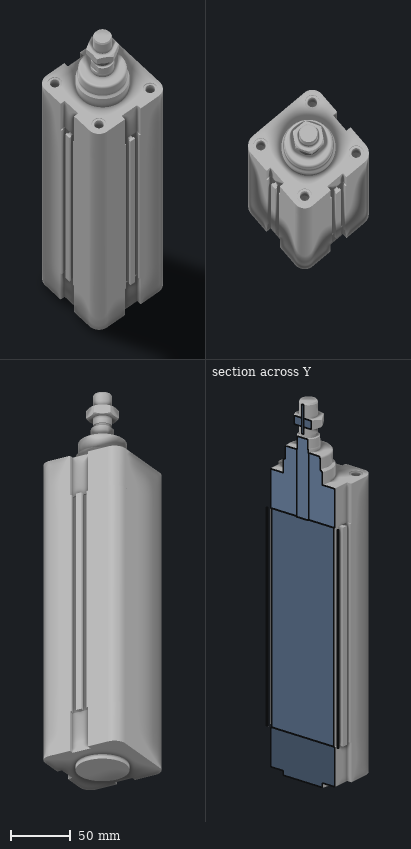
import cadquery as cq
import math

width = 77.5
total_height = 344
corner_radius = 10.3
cap_height = 36.0
barrel_height = 199.0
rear_boss_height = 4.0
barrel_base = rear_boss_height + cap_height
barrel_top = barrel_base + barrel_height
front_face = barrel_top + cap_height

cap_slot_width = 17.2
barrel_slot_width = 14.8
cap_slot_depth = 4.5
barrel_slot_depth = 5.5
slot_lip = 2.0
slot_undercut = 0.85
slot_rib_width = 5.0
slot_angles = (0, -90, 180)

fixing_offset = 28.2
fixing_diameter = 8.3
fixing_rim_diameter = 12.5
fixing_counterbore_diameter = 12.0
fixing_counterbore_depth = 0.7
fixing_depth = 20.5
drill_point_angle = 118

boss_diameter = 45.0
collar_diameter = 41.0
boss_height = 11.5
boss_chamfer = (boss_diameter - collar_diameter) / 2
collar_top = 300.3
collar_fillet = 2.0

rod_diameter = 20.0
spanner_diameter = 19.5
spanner_base = 304.0
spanner_taper = 1.0
rod_shoulder = 312.5
flat_span = 17.2
flat_base = 305.0
thread_diameter = 16.0
thread_base = 315.5
neck_diameter = 14.5
thread_chamfer_height = 1.55

nut_across_flats = 24.0
nut_height = 8.3
nut_base = 322.0
nut_chamfer_angle = 30


def cylinder(diameter, base, top):
    return cq.Workplane("XY").workplane(offset=base).circle(diameter / 2).extrude(top - base)


def rounded_block(base, height):
    block = cq.Workplane("XY").workplane(offset=base).rect(width, width).extrude(height)
    return block.edges("|Z").fillet(corner_radius)


def side_channels(channel_width, base, height, depth, inset=0):
    """Straight channels on the +X, -Y and -X sides, starting at an inset below each face."""
    channel = (
        cq.Workplane("XY")
        .workplane(offset=base)
        .center(width / 2 - inset - depth / 2, 0)
        .rect(depth, channel_width)
        .extrude(height)
    )
    channels = cq.Workplane("XY")
    for angle in slot_angles:
        channels = channels.add(channel.rotate((0, 0, 0), (0, 0, 1), angle))
    return channels.combine()


def make_cap(base):
    return rounded_block(base, cap_height).cut(side_channels(cap_slot_width, base, cap_height, cap_slot_depth))


def fixing_hole():
    """Counterbored blind hole with a bevelled rim and a drill point, opening upwards at Z = 0."""
    radius = fixing_diameter / 2
    counterbore_radius = fixing_counterbore_diameter / 2
    rim_radius = fixing_rim_diameter / 2
    point_depth = radius / math.tan(math.radians(drill_point_angle / 2))
    return (
        cq.Workplane("XZ")
        .moveTo(0, 0)
        .lineTo(rim_radius, 0)
        .lineTo(counterbore_radius, counterbore_radius - rim_radius)
        .lineTo(counterbore_radius, -fixing_counterbore_depth)
        .lineTo(radius, -fixing_counterbore_depth)
        .lineTo(radius, -fixing_depth)
        .lineTo(0, -fixing_depth - point_depth)
        .close()
        .revolve(360, (0, 0, 0), (0, 1, 0))
    )


def bosses():
    """Front boss stepping down to a collar through a 45-degree chamfer."""
    boss_radius = boss_diameter / 2
    collar_radius = collar_diameter / 2
    boss_top = front_face + boss_height
    profile = (
        cq.Workplane("XZ")
        .moveTo(0, front_face)
        .lineTo(boss_radius, front_face)
        .lineTo(boss_radius, boss_top)
        .lineTo(collar_radius, boss_top + boss_chamfer)
        .lineTo(collar_radius, collar_top)
        .lineTo(0, collar_top)
        .close()
    )
    return profile.revolve(360, (0, 0, 0), (0, 1, 0)).faces(">Z").edges().fillet(collar_fillet)


def make_front_cap():
    cap = make_cap(barrel_top).union(bosses())
    for x in (-fixing_offset, fixing_offset):
        for y in (-fixing_offset, fixing_offset):
            cap = cap.cut(fixing_hole().translate((x, y, front_face)))
    return cap.cut(cylinder(rod_diameter, barrel_top, collar_top))


def make_rear_cap():
    return make_cap(rear_boss_height).union(cylinder(boss_diameter, 0, rear_boss_height))


def make_barrel():
    """Solid square profile whose side slots are T-shaped and split by a T-shaped rib."""
    inner_width = barrel_slot_width + 2 * slot_undercut
    stem_width = slot_rib_width - 2 * slot_undercut
    inner_depth = barrel_slot_depth - slot_lip
    mouths = side_channels(barrel_slot_width, barrel_base, barrel_height, slot_lip)
    rib_heads = side_channels(slot_rib_width, barrel_base, barrel_height, slot_lip)
    undercuts = side_channels(inner_width, barrel_base, barrel_height, inner_depth, slot_lip)
    rib_stems = side_channels(stem_width, barrel_base, barrel_height, inner_depth, slot_lip)
    barrel = rounded_block(barrel_base, barrel_height)
    return barrel.cut(mouths.cut(rib_heads)).cut(undercuts.cut(rib_stems))


def make_rod():
    rod_radius = rod_diameter / 2
    spanner_radius = spanner_diameter / 2
    thread_radius = thread_diameter / 2
    neck_radius = neck_diameter / 2
    rod = (
        cq.Workplane("XZ")
        .moveTo(0, barrel_top)
        .lineTo(rod_radius, barrel_top)
        .lineTo(rod_radius, spanner_base - spanner_taper)
        .lineTo(spanner_radius, spanner_base)
        .lineTo(spanner_radius, rod_shoulder)
        .lineTo(neck_radius, rod_shoulder)
        .lineTo(neck_radius, thread_base)
        .lineTo(thread_radius, thread_base)
        .lineTo(thread_radius, total_height - thread_chamfer_height)
        .lineTo(neck_radius, total_height)
        .lineTo(0, total_height)
        .close()
        .revolve(360, (0, 0, 0), (0, 1, 0))
    )
    outside_flats = (
        cq.Workplane("XY")
        .workplane(offset=flat_base)
        .rect(2 * rod_diameter, 2 * rod_diameter)
        .rect(2 * rod_diameter, flat_span)
        .extrude(rod_shoulder - flat_base)
    )
    return rod.cut(outside_flats)


def make_nut():
    across_corners = nut_across_flats / math.cos(math.pi / 6)
    nut = (
        cq.Workplane("XY")
        .workplane(offset=nut_base)
        .polygon(6, across_corners)
        .extrude(nut_height)
    )
    flat_radius = nut_across_flats / 2
    tip_radius = across_corners / 2
    drop = (tip_radius - flat_radius) * math.tan(math.radians(nut_chamfer_angle))
    envelope = (
        cq.Workplane("XZ")
        .moveTo(0, nut_base)
        .lineTo(flat_radius, nut_base)
        .lineTo(tip_radius, nut_base + drop)
        .lineTo(tip_radius, nut_base + nut_height - drop)
        .lineTo(flat_radius, nut_base + nut_height)
        .lineTo(0, nut_base + nut_height)
        .close()
        .revolve(360, (0, 0, 0), (0, 1, 0))
    )
    return nut.intersect(envelope).cut(cylinder(thread_diameter, nut_base, nut_base + nut_height))


front_cap = make_front_cap()
barrel = make_barrel()
rear_cap = make_rear_cap()
rod = make_rod()
nut = make_nut()

result = cq.Compound.makeCompound(
    [front_cap.val(), barrel.val(), rear_cap.val(), rod.val(), nut.val()]
)